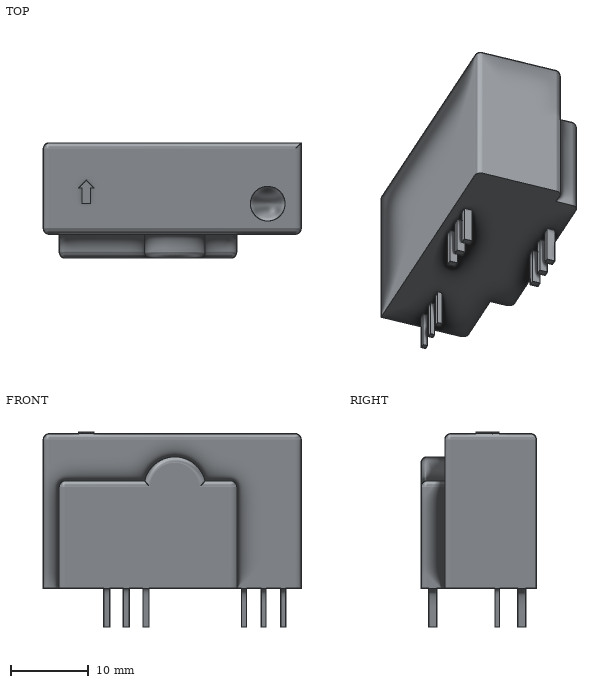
import cadquery as cq


length = 33.3
depth = 11.82
height = 19.98
edge_radius = 0.8

block_left = 2.05
block_length = 22.9
block_depth = 3.05
block_height = 13.9
front_y = -block_depth

boss_x = 16.98
boss_z = 13.0
boss_radius = 4.0

dimple_x = 28.97
dimple_y = 3.95
dimple_rim_radius = 2.23
dimple_depth = 1.33

arrow_x = 5.55
arrow_start_y = 4.0
arrow_length = 3.0
arrow_head_length = 1.0
arrow_head_width = 1.95
arrow_shaft_width = 1.13
arrow_height = 0.23

pin_length = 5.0
pin_pitch = 2.53
pins_per_row = 3
primary_pin_x = 8.2
front_row_y = -1.55
back_row_y = depth - 1.9
primary_pin_size = (0.8, 1.05)
secondary_pin_x = 25.9
secondary_row_y = depth - 5.05
secondary_pin_size = (0.65, 0.6)


def make_housing():
    """Box with rounded top edges and one sharp upright edge at the back right."""
    box = cq.Workplane("XY").box(length, depth, height, centered=False)
    upright_edges = box.edges("(|Z and <X) or (|Z and <Y)")
    return upright_edges.add(box.faces(">Z").edges()).fillet(edge_radius)


def make_block():
    """Front block, rounded at its sides, top and front face."""
    block = (
        cq.Workplane("XY")
        .box(block_length, block_depth + edge_radius, block_height, centered=False)
        .translate((block_left, front_y, 0))
    )
    front_rim = block.faces("<Y").edges("not <Z")
    side_corners = block.faces(">Z").edges("|Y")
    return front_rim.add(side_corners).fillet(edge_radius)


def make_boss():
    """Round boss with a rounded front rim, flush with the front of the block."""
    return (
        cq.Workplane("XZ", origin=(boss_x, edge_radius, boss_z))
        .circle(boss_radius)
        .extrude(block_depth + edge_radius)
        .faces("<Y")
        .edges()
        .fillet(edge_radius)
    )


def make_dimple():
    """Ball whose lower cap cuts the shallow dimple to its rim radius and depth."""
    ball_radius = (dimple_rim_radius**2 + dimple_depth**2) / (2 * dimple_depth)
    center_z = height - dimple_depth + ball_radius
    return cq.Workplane("XY").sphere(ball_radius).translate((dimple_x, dimple_y, center_z))


def make_arrow():
    """Raised arrow pointing toward the back."""
    half_shaft = arrow_shaft_width / 2
    half_head = arrow_head_width / 2
    head_y = arrow_length - arrow_head_length
    return (
        cq.Workplane("XY", origin=(arrow_x, arrow_start_y, height))
        .moveTo(-half_shaft, 0)
        .lineTo(half_shaft, 0)
        .lineTo(half_shaft, head_y)
        .lineTo(half_head, head_y)
        .lineTo(0, arrow_length)
        .lineTo(-half_head, head_y)
        .lineTo(-half_shaft, head_y)
        .close()
        .extrude(arrow_height)
    )


def make_pin_row(first_x, row_y, pin_size):
    """Row of rectangular pins hanging from the underside."""
    centers = [(first_x + i * pin_pitch, row_y) for i in range(pins_per_row)]
    return cq.Workplane("XY").pushPoints(centers).rect(*pin_size).extrude(-pin_length)


result = (
    make_housing()
    .union(make_block())
    .union(make_boss())
    .cut(make_dimple())
    .union(make_arrow())
    .union(make_pin_row(primary_pin_x, front_row_y, primary_pin_size))
    .union(make_pin_row(primary_pin_x, back_row_y, primary_pin_size))
    .union(make_pin_row(secondary_pin_x, secondary_row_y, secondary_pin_size))
)